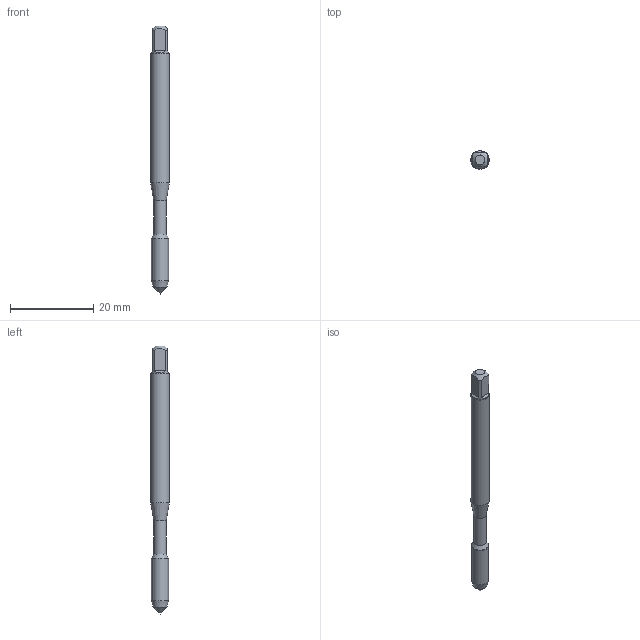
import cadquery as cq
import math

OVERALL_LENGTH = 64.34

SHANK_RADIUS = 4.5 / 2
SQUARE_WIDTH = 3.4
SQUARE_LENGTH = 6.0
SQUARE_CORNER_RADIUS = 4.32 / 2
SQUARE_TOP_RADIUS = 2.34 / 2
SHOULDER_DROP = 0.67

NECK_RADIUS = 2.97 / 2
NECK_TOP_FROM_END = 42.0
NECK_BOTTOM_FROM_END = 49.95
SHANK_TAPER_ANGLE = 10.0
COLLAR_RADIUS = 4.09 / 2
COLLAR_TAPER_ANGLE = 30.0

HEAD_RADIUS = COLLAR_RADIUS
HEAD_TOP_FROM_END = 51.05
LEAD_LENGTH = 1.55
POINT_RADIUS = 1.65
POINT_ANGLE = 45.0


def taper_length(large_radius, small_radius, angle):
    """Axial length of a cone whose side leans by angle (degrees) from the axis."""
    return (large_radius - small_radius) / math.tan(math.radians(angle))


square_bottom = OVERALL_LENGTH - SQUARE_LENGTH
half_square = SQUARE_WIDTH / 2
shank_top = square_bottom - SHOULDER_DROP
neck_top = OVERALL_LENGTH - NECK_TOP_FROM_END
neck_bottom = OVERALL_LENGTH - NECK_BOTTOM_FROM_END
shank_bottom = neck_top + taper_length(SHANK_RADIUS, NECK_RADIUS, SHANK_TAPER_ANGLE)
collar_top = neck_bottom - taper_length(COLLAR_RADIUS, NECK_RADIUS, COLLAR_TAPER_ANGLE)
head_top = OVERALL_LENGTH - HEAD_TOP_FROM_END
point_height = taper_length(POINT_RADIUS, 0, POINT_ANGLE)
lead_top = point_height + LEAD_LENGTH
square_chamfer_bottom = OVERALL_LENGTH - (SQUARE_CORNER_RADIUS - SQUARE_TOP_RADIUS)


def revolve_profile(points):
    """Turn a closed outline of (radius, height) points about the Z axis."""
    return cq.Workplane("XZ").polyline(points).close().revolve(360, (0, 0), (0, 1))


def flat_cutter():
    """Prism that cuts the flat on the -Y side, with a 45 degree ramp running out at the shank."""
    overrun = 1.0
    outer = SHANK_RADIUS + overrun
    top = OVERALL_LENGTH + overrun
    profile = [
        (-half_square, top),
        (-half_square, square_bottom),
        (-outer, square_bottom - (outer - half_square)),
        (-outer, top),
    ]
    return cq.Workplane("YZ").polyline(profile).close().extrude(outer, both=True)


def make_shank():
    """Shank, neck and collar turned in one piece, with the drive square cut at the top."""
    shank = revolve_profile([
        (0, head_top),
        (COLLAR_RADIUS, head_top),
        (COLLAR_RADIUS, collar_top),
        (NECK_RADIUS, neck_bottom),
        (NECK_RADIUS, neck_top),
        (SHANK_RADIUS, shank_bottom),
        (SHANK_RADIUS, shank_top),
        (SQUARE_CORNER_RADIUS, shank_top),
        (SQUARE_CORNER_RADIUS, square_chamfer_bottom),
        (SQUARE_TOP_RADIUS, OVERALL_LENGTH),
        (0, OVERALL_LENGTH),
    ])
    for side in range(4):
        shank = shank.cut(flat_cutter().rotate((0, 0, 0), (0, 0, 1), side * 90))
    return shank


def make_head():
    """Cutting head: plain cylinder, tapered lead and conical point."""
    return revolve_profile([
        (0, 0),
        (POINT_RADIUS, point_height),
        (HEAD_RADIUS, lead_top),
        (HEAD_RADIUS, head_top),
        (0, head_top),
    ])


shank = make_shank()
head = make_head()
result = cq.Compound.makeCompound([shank.val(), head.val()])